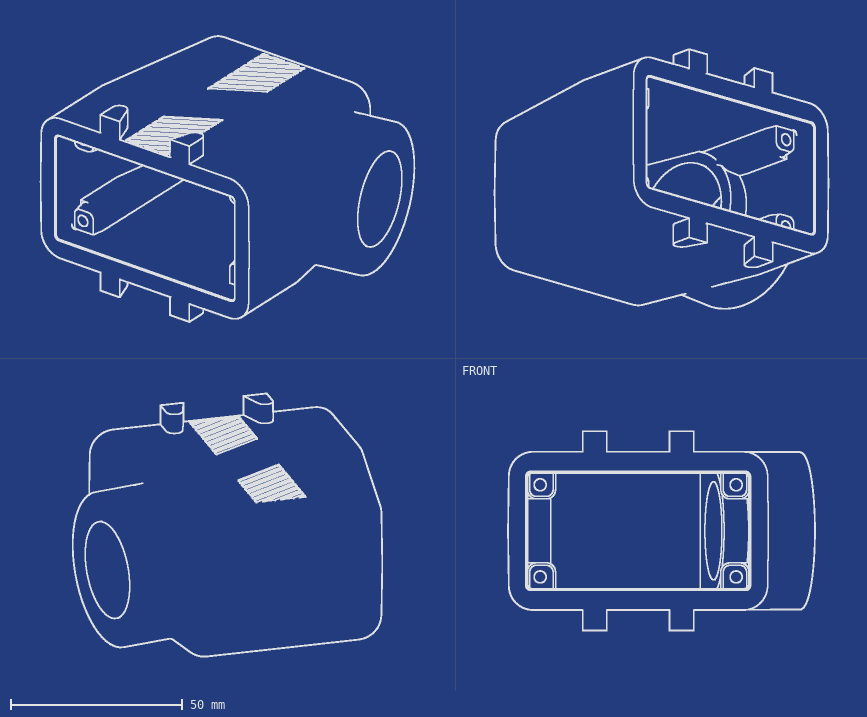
import cadquery as cq
import math

overall_length = 89.3

body_half_width = 37.9
body_half_height = 23.05
body_length = 71.4
straight_length = 26.35
side_angle = 10.0
draft_angle = 0.8
long_edge_radius = 7.15
back_edge_radius = 3.1

cavity_half_width = 32.2
cavity_half_height = 16.8
cavity_depth = 68.1
cavity_straight = 29.5
cavity_corner_radius = 1.3
mouth_depth = 7.6
mouth_flare = 0.3
mouth_chamfer = 0.3

entry_end_y = 50.5
entry_radius = 23.0
entry_edge_radius = 0.7
entry_root_radius = 0.9
entry_bore_radius = 14.3
collar_radius = 17.9
collar_length = 13.4
collar_end = 26.1

post_x = 28.1
post_z = 13.4
post_size = 8.2
post_tip_size = 6.8
post_tip_length = 3.75
post_start = 8.0
post_corner_radius = 2.7
screw_hole_x = 28.5
screw_hole_diameter = 3.5
screw_hole_depth = 10.7

lug_outer_x = 16.2
lug_inner_x = 9.1
lug_length = 8.4
lug_nose_radius = 2.4
lug_span = 58.0
lug_reach = lug_span / 2

stripe_half_width = 7.5
stripe_band_start = 0.6
stripe_band_end = 67.5
stripe_pitch = 3.2
stripe_height = 2.2
stripe_angle = 30.0
stripe_depth = 0.4
back_stripe_y = 40.65
front_stripe_y = 16.9
stripes_per_group = 9

side_sine = math.sin(math.radians(side_angle))
side_cosine = math.cos(math.radians(side_angle))
side_slope = math.tan(math.radians(side_angle))
clearance = 4.5

entry_rim_reach = entry_radius * side_sine - entry_edge_radius * (side_sine + side_cosine - 1)
entry_end_x = overall_length - body_half_width - entry_rim_reach


def tapering_outline(half_width, start, straight, end):
    """Outline in XY: straight sides, then sides that lean inwards to the end."""
    end_half_width = half_width - (end - straight) * side_slope
    return cq.Workplane("XY").polyline([
        (-half_width, start),
        (half_width, start),
        (half_width, straight),
        (end_half_width, end),
        (-end_half_width, end),
        (-half_width, straight),
    ]).close()


def outer_body():
    """Body drafted away from the parting plane Z = 0; the upper half is mirrored."""
    outline = tapering_outline(body_half_width, -clearance, straight_length, body_length)
    half = outline.extrude(body_half_height, taper=draft_angle)
    front_waste = cq.Workplane("XY").box(
        4 * body_half_width, 2 * clearance, 4 * body_half_height
    ).translate((0, -clearance, 0))
    half = half.cut(front_waste)
    half = half.faces(">Z").edges("not |X").fillet(long_edge_radius)
    back_edges_above_parting = cq.selectors.BoxSelector(
        (-body_half_width, body_length - 0.9, 0.9),
        (body_half_width, body_length + 0.9, body_half_height + 0.9),
    )
    half = half.edges(back_edges_above_parting).fillet(back_edge_radius)
    return half.union(half.mirror("XY"))


def main_cavity():
    outline = tapering_outline(cavity_half_width, 0, cavity_straight, cavity_depth)
    return outline.extrude(cavity_half_height, both=True).edges("|Y").fillet(cavity_corner_radius)


def rounded_frustum(plane, width, height, corner_radius, depth, inset):
    """Rounded rectangle extruded along the plane normal, leaning inwards by the inset."""
    section = cq.Sketch().rect(width, height).vertices().fillet(corner_radius)
    lean = math.degrees(math.atan(inset / abs(depth)))
    return cq.Workplane(plane).placeSketch(section).extrude(depth, taper=lean)


def plane_facing_front(x, y, z):
    return cq.Plane(origin=(x, y, z), xDir=(1, 0, 0), normal=(0, -1, 0))


def mouth():
    """Flared lead-in of the cavity with a chamfered rim."""
    width = 2 * (cavity_half_width + mouth_flare)
    height = 2 * (cavity_half_height + mouth_flare)
    front = plane_facing_front(0, 0, 0)
    lead_in = rounded_frustum(front, width, height, cavity_corner_radius, -mouth_depth, mouth_flare)
    rim = rounded_frustum(
        front,
        width + 2 * mouth_chamfer,
        height + 2 * mouth_chamfer,
        cavity_corner_radius + mouth_chamfer,
        -mouth_chamfer,
        mouth_chamfer,
    )
    return lead_in.union(rim)


def entry_plane(distance):
    """Plane across the cable entry, facing inwards, set back from its outer end."""
    inward = cq.Vector(-side_cosine, -side_sine, 0)
    origin = cq.Vector(entry_end_x, entry_end_y, 0) + inward * distance
    return cq.Plane(origin=origin, xDir=(0, 0, 1), normal=inward)


def entry_tube():
    tube = cq.Workplane(entry_plane(0)).circle(entry_radius).extrude(collar_end)
    return tube.faces(">X").edges().fillet(entry_edge_radius)


def body_with_entry():
    """Body and tube joined, with a fillet along the curve where they meet."""
    body = outer_body().union(entry_tube())
    plane = entry_plane(0)

    def on_root(edge):
        for fraction in (0.1, 0.5, 0.9):
            point = plane.toLocalCoords(edge.positionAt(fraction))
            on_tube = abs(math.hypot(point.x, point.y) - entry_radius) < 0.001
            if not on_tube or point.z <= 2 * entry_edge_radius:
                return False
        return True

    curved_edges = body.edges("not %LINE").vals()
    root_edges = [edge for edge in curved_edges if on_root(edge)]
    return body.newObject(root_edges).fillet(entry_root_radius)


def entry_collar(cavity):
    """Collar inside the cavity, widened to a full-height block towards the back wall."""
    workplane = cq.Workplane(entry_plane(collar_end - collar_length))
    collar = workplane.circle(collar_radius).extrude(collar_length)
    block = (
        workplane.center(0, collar_radius)
        .rect(2 * collar_radius, 2 * collar_radius)
        .extrude(collar_length)
    )
    return collar.union(block).intersect(cavity)


def entry_bore():
    return cq.Workplane(entry_plane(0)).circle(entry_bore_radius).extrude(collar_end)


def screw_post(side, level, cavity):
    """Post along the cavity corner with a tapered tip towards the mouth.

    The sections reach past the cavity walls and are trimmed to them: the tip
    merges into the floor or roof only, the shaft into the side wall as well.
    """
    root_y = post_start + post_tip_length
    shift = post_corner_radius
    tip = rounded_frustum(
        plane_facing_front(side * post_x, root_y, level * (post_z + shift)),
        post_size,
        post_size + 2 * shift,
        post_corner_radius,
        post_tip_length,
        (post_size - post_tip_size) / 2,
    )
    shaft = rounded_frustum(
        plane_facing_front(side * (post_x + shift), root_y, level * (post_z + shift)),
        post_size + 2 * shift,
        post_size + 2 * shift,
        post_corner_radius,
        -cavity_depth,
        0,
    )
    return tip.union(shaft).intersect(cavity)


def screw_hole(side, level):
    plane = plane_facing_front(side * screw_hole_x, post_start, level * post_z)
    return cq.Workplane(plane).circle(screw_hole_diameter / 2).extrude(-screw_hole_depth)


def lug_pair(side):
    """Pair of lugs, above and below: straight outer flank, round nose, slanted inner flank."""
    nose_x = lug_outer_x - lug_nose_radius
    nose_y = lug_length - lug_nose_radius
    foot_dx = lug_inner_x - nose_x
    foot_distance = math.hypot(foot_dx, nose_y)
    tangent_angle = (
        math.atan2(-nose_y, foot_dx) - math.acos(lug_nose_radius / foot_distance)
    )
    tangent_point = (
        side * (nose_x + lug_nose_radius * math.cos(tangent_angle)),
        nose_y + lug_nose_radius * math.sin(tangent_angle),
    )
    lug_root = cavity_half_height + clearance
    profile = (
        cq.Workplane("XY", origin=(0, 0, lug_root))
        .moveTo(side * lug_inner_x, 0)
        .lineTo(side * lug_outer_x, 0)
        .lineTo(side * lug_outer_x, nose_y)
        .threePointArc((side * nose_x, lug_length), tangent_point)
        .close()
    )
    lug = profile.extrude(lug_reach - lug_root)
    return lug.union(lug.mirror("XY"))


def stripe_grooves():
    """Diagonal grooves in two groups, cut off square at the edges of the band."""
    rise = 2 * stripe_half_width * math.tan(math.radians(stripe_angle))
    starts = []
    for index in range(stripes_per_group):
        starts.append(back_stripe_y + index * stripe_pitch)
        starts.append(front_stripe_y - index * stripe_pitch)
    floor = cq.Workplane("XY", origin=(0, 0, body_half_height - stripe_depth))
    for start in starts:
        floor = floor.polyline([
            (-stripe_half_width, start),
            (stripe_half_width, start + rise),
            (stripe_half_width, start + rise + stripe_height),
            (-stripe_half_width, start + stripe_height),
        ]).close()
    band = (
        cq.Workplane("XY", origin=(0, (stripe_band_start + stripe_band_end) / 2, body_half_height))
        .box(2 * stripe_half_width, stripe_band_end - stripe_band_start, 2 * clearance)
    )
    return floor.extrude(clearance).intersect(band)


cavity_space = main_cavity()
corners = [(side, level) for side in (-1, 1) for level in (-1, 1)]

result = body_with_entry()
result = result.cut(cavity_space).cut(mouth())
result = result.union(entry_collar(cavity_space))
for side, level in corners:
    result = result.union(screw_post(side, level, cavity_space))
result = result.cut(entry_bore())
for side, level in corners:
    result = result.cut(screw_hole(side, level))
for side in (-1, 1):
    result = result.union(lug_pair(side))
result = result.cut(stripe_grooves())